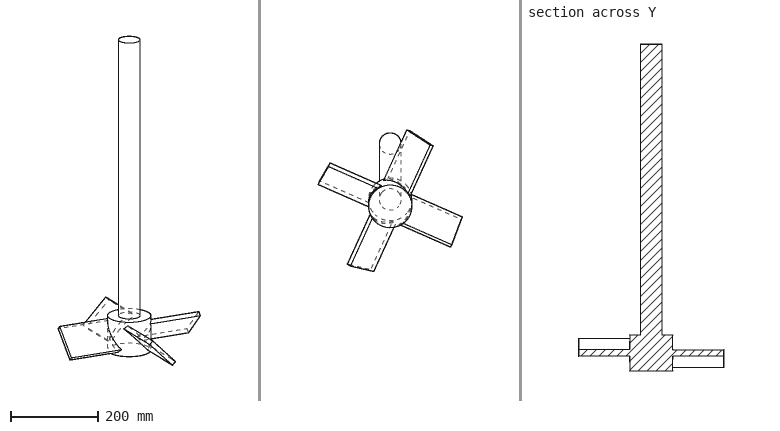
import cadquery as cq

total_height = 750.0
impeller_diameter = 333.0
shaft_diameter = 50.0
hub_diameter = 100.0
hub_height = 83.0

blade_count = 4
blade_width = 83.0
blade_thickness = 11.0
blade_pitch = 45.0
blade_center_height = hub_height / 2


def make_blade():
    """Flat plate running from the axis to -Y, with its -X edge raised."""
    blade_length = impeller_diameter / 2
    return (
        cq.Workplane("XY")
        .box(blade_width, blade_length, blade_thickness)
        .rotate((0, 0, 0), (0, 1, 0), blade_pitch)
        .translate((0, -blade_length / 2, blade_center_height))
    )


hub = cq.Workplane("XY").circle(hub_diameter / 2).extrude(hub_height)
shaft = cq.Workplane("XY").circle(shaft_diameter / 2).extrude(total_height)
result = hub.union(shaft)

for index in range(blade_count):
    angle = index * 360 / blade_count
    blade = make_blade().rotate((0, 0, 0), (0, 0, 1), angle).cut(hub)
    result = result.union(blade)